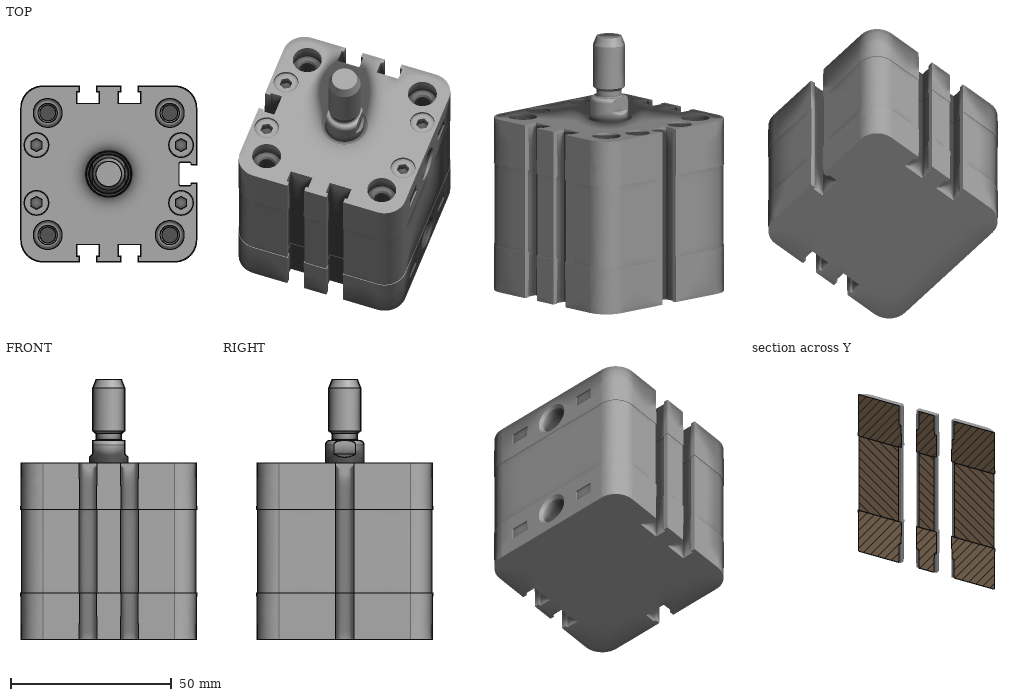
import cadquery as cq
import math

WIDTH = 54.8
CORNER_RADIUS = 6.9
BODY_HEIGHT = 55.0
CAP_HEIGHT = 14.5
CAP_DRAFT = 0.5
BARREL_INSET = 0.2
BARREL_TOP = BODY_HEIGHT - CAP_HEIGHT
BARREL_HEIGHT = BARREL_TOP - CAP_HEIGHT
CAP_END_INSET = CAP_HEIGHT * math.tan(math.radians(CAP_DRAFT))
HALF_WIDTH = WIDTH / 2

SLOT_OFFSET = 6.45
SLOT_NECK = 5.3
SLOT_WIDTH = 6.9
SLOT_DEPTH = 5.4
SLOT_LIP = 1.8
SLOT_OVERRUN = 1.0
SIDE_SLOT_NECK = 5.7
SIDE_SLOT_WIDTH = 7.2
SIDE_SLOT_DEPTH = 5.5
SIDE_SLOT_FILLET = 0.3

PORT_DIAMETER = 8.57
PORT_MOUTH_DIAMETER = 10.6
PORT_CONE_DEPTH = 1.0
PORT_END_DISTANCE = 8.0
CORE_DIAMETER = 40.0

LABEL_WIDTH = 6.0
LABEL_HEIGHT = 4.1
LABEL_DEPTH = 0.5
LABEL_OFFSET = 13.0
LABEL_END_DISTANCE = 7.2

MOUNT_OFFSET = 19.0
MOUNT_BORE_DIAMETER = 9.0
MOUNT_BORE_DEPTH = 4.8
MOUNT_MOUTH_DIAMETER = 6.0
MOUNT_HOLE_DIAMETER = 4.92
MOUNT_HOLE_DEPTH = 12.0

SCREW_X = 22.5
SCREW_Y = 9.0
SCREW_BORE_DIAMETER = 7.7
SCREW_HEAD_DIAMETER = 7.5
SCREW_HEAD_RECESS = 0.7
SCREW_GROOVE_DEPTH = 1.2
HEX_ACROSS_FLATS = 3.5
HEX_DEPTH = 2.5

OPENING_MOUTH_DIAMETER = 14.4
OPENING_DIAMETER = 14.0
WIPER_OUTER_DIAMETER = 13.7
WIPER_INNER_DIAMETER = 12.54
OPENING_CHAMFER_DEPTH = 0.2
WIPER_DEPTH = 0.4

ROD_DIAMETER = 12.0
ROD_SHOULDER = 7.0
ROD_FILLET = 1.35
NECK_DIAMETER = 7.9
NECK_TOP = 9.1
NECK_FLARE = 0.3
THREAD_DIAMETER = 10.0
THREAD_START = 10.0
THREAD_END = 23.3
ROD_TOP = 26.0
TIP_DIAMETER = 7.9
FLAT_SPACING = 10.0
FLAT_BOTTOM = 2.75
FLAT_CUTTER_MARGIN = 1.0


def t_slot_points(inset, neck, width, depth):
    """T-slot section opening along +Y, grown by inset on every wall."""
    half_neck = neck / 2 + inset
    half_width = width / 2 + inset
    outer = HALF_WIDTH + SLOT_OVERRUN
    lip = HALF_WIDTH - SLOT_LIP + inset
    floor = HALF_WIDTH - depth - inset
    return [
        (half_neck, outer),
        (half_neck, lip),
        (half_width, lip),
        (half_width, floor),
        (-half_width, floor),
        (-half_width, lip),
        (-half_neck, lip),
        (-half_neck, outer),
    ]


def rounded_block(bottom_inset, top_inset, height):
    """Rounded square block whose faces taper between the two insets."""
    def section(inset, level):
        side = WIDTH - 2 * inset
        outline = cq.Sketch().rect(side, side).vertices().fillet(CORNER_RADIUS - inset)
        return outline.moved(cq.Location(cq.Vector(0, 0, level)))

    return cq.Workplane().placeSketch(section(bottom_inset, 0), section(top_inset, height)).loft(ruled=True)


def tapered_slot(bottom_inset, top_inset, height):
    """Slot cutter whose walls taper between the two insets."""
    return (
        cq.Workplane()
        .polyline(t_slot_points(bottom_inset, SLOT_NECK, SLOT_WIDTH, SLOT_DEPTH)).close()
        .workplane(offset=height)
        .polyline(t_slot_points(top_inset, SLOT_NECK, SLOT_WIDTH, SLOT_DEPTH)).close()
        .loft(ruled=True)
    )


def side_slot(height):
    """Straight slot cutter for the +X face, with rounded inner corners."""
    return (
        cq.Workplane()
        .polyline(t_slot_points(0, SIDE_SLOT_NECK, SIDE_SLOT_WIDTH, SIDE_SLOT_DEPTH)).close()
        .extrude(height)
        .edges("|Z and (not >Y)").fillet(SIDE_SLOT_FILLET)
        .rotate((0, 0, 0), (0, 0, 1), -90)
    )


def slotted_block(bottom_inset, top_inset, height):
    """Block with two slots on each Y face and one on the +X face."""
    block = rounded_block(bottom_inset, top_inset, height)
    for x in (-SLOT_OFFSET, SLOT_OFFSET):
        slot = tapered_slot(bottom_inset, top_inset, height).translate((x, 0, 0))
        block = block.cut(slot).cut(slot.mirror("XZ"))
    return block.cut(side_slot(height))


def revolved(points):
    """Solid of revolution about Z from (radius, height) points."""
    return cq.Workplane("XZ").polyline(points).close().revolve(360, (0, 0, 0), (0, 1, 0))


def cut_port(cap, height):
    """Countersunk port from the -X face, ending on the core cylinder."""
    mouth = PORT_MOUTH_DIAMETER / 2
    radius = PORT_DIAMETER / 2
    port = (
        revolved([
            (0, 0),
            (mouth, 0),
            (radius, PORT_CONE_DEPTH),
            (radius, HALF_WIDTH),
            (0, HALF_WIDTH),
        ])
        .rotate((0, 0, 0), (0, 1, 0), 90)
        .translate((-HALF_WIDTH, 0, height))
    )
    core = cq.Workplane().circle(CORE_DIAMETER / 2).extrude(BODY_HEIGHT)
    return cap.cut(port.cut(core))


def cut_labels(cap, height):
    """Shallow rectangular panels either side of a port."""
    panel_thickness = 2 * LABEL_DEPTH
    skin = -HALF_WIDTH + CAP_END_INSET / 2
    for y in (-LABEL_OFFSET, LABEL_OFFSET):
        panel = cq.Workplane().box(panel_thickness, LABEL_WIDTH, LABEL_HEIGHT)
        cap = cap.cut(panel.translate((skin, y, height)))
    return cap


def mounting_hole():
    """Counterbored, countersunk blind hole cutter, with its mouth at Z = 0."""
    bore = MOUNT_BORE_DIAMETER / 2
    mouth = MOUNT_MOUTH_DIAMETER / 2
    radius = MOUNT_HOLE_DIAMETER / 2
    cone_end = MOUNT_BORE_DEPTH + mouth - radius
    return revolved([
        (0, 0),
        (bore, 0),
        (bore, -MOUNT_BORE_DEPTH),
        (mouth, -MOUNT_BORE_DEPTH),
        (radius, -cone_end),
        (radius, -MOUNT_HOLE_DEPTH),
        (0, -MOUNT_HOLE_DEPTH),
    ])


def screw_recess():
    """Cutter that leaves a sunk hex socket screw head, with its mouth at Z = 0."""
    bore = SCREW_BORE_DIAMETER / 2
    head = SCREW_HEAD_DIAMETER / 2
    recess = revolved([
        (0, 0),
        (bore, 0),
        (bore, -SCREW_GROOVE_DEPTH),
        (head, -SCREW_GROOVE_DEPTH),
        (head, -SCREW_HEAD_RECESS),
        (0, -SCREW_HEAD_RECESS),
    ])
    hex_corners = HEX_ACROSS_FLATS / math.cos(math.pi / 6)
    socket = (
        cq.Workplane()
        .polygon(6, hex_corners)
        .extrude(-SCREW_HEAD_RECESS - HEX_DEPTH)
        .rotate((0, 0, 0), (0, 0, 1), 90)
    )
    return recess.union(socket)


def rod_opening():
    """Rod hole cutter with a stepped wiper seat at its mouth, Z = 0."""
    seat = WIPER_OUTER_DIAMETER / 2
    lip = WIPER_INNER_DIAMETER / 2
    rod_radius = ROD_DIAMETER / 2
    return revolved([
        (0, 0),
        (OPENING_MOUTH_DIAMETER / 2, 0),
        (OPENING_DIAMETER / 2, -OPENING_CHAMFER_DEPTH),
        (seat, -OPENING_CHAMFER_DEPTH),
        (lip, -WIPER_DEPTH),
        (rod_radius, -WIPER_DEPTH),
        (rod_radius, -CAP_HEIGHT),
        (0, -CAP_HEIGHT),
    ])


def make_rear_cap():
    """Rear cap, narrowing towards Z = 0, with its port and label panels."""
    cap = slotted_block(CAP_END_INSET, 0, CAP_HEIGHT)
    cap = cut_port(cap, PORT_END_DISTANCE)
    return cut_labels(cap, LABEL_END_DISTANCE)


def make_barrel():
    """Straight slotted barrel between the caps."""
    barrel_block = slotted_block(BARREL_INSET, BARREL_INSET, BARREL_HEIGHT)
    return barrel_block.translate((0, 0, CAP_HEIGHT))


def make_front_cap():
    """Front cap with port, labels, mounting holes, screw heads and rod opening."""
    cap = slotted_block(0, CAP_END_INSET, CAP_HEIGHT).translate((0, 0, BARREL_TOP))
    cap = cut_port(cap, BODY_HEIGHT - PORT_END_DISTANCE)
    cap = cut_labels(cap, BODY_HEIGHT - LABEL_END_DISTANCE)
    for x_side in (-1, 1):
        for y_side in (-1, 1):
            mount_place = (x_side * MOUNT_OFFSET, y_side * MOUNT_OFFSET, BODY_HEIGHT)
            screw_place = (x_side * SCREW_X, y_side * SCREW_Y, BODY_HEIGHT)
            cap = cap.cut(mounting_hole().translate(mount_place))
            cap = cap.cut(screw_recess().translate(screw_place))
    return cap.cut(rod_opening().translate((0, 0, BODY_HEIGHT)))


def wrench_flat_cutter():
    """Cutter for the +X wrench flat, its lower end sloping out at 45 degrees."""
    flat = FLAT_SPACING / 2
    outer = ROD_DIAMETER / 2 + FLAT_CUTTER_MARGIN
    run_out = FLAT_BOTTOM - (outer - flat)
    return (
        cq.Workplane("XZ")
        .polyline([(flat, FLAT_BOTTOM), (outer, run_out), (outer, ROD_SHOULDER), (flat, ROD_SHOULDER)])
        .close()
        .extrude(ROD_DIAMETER / 2, both=True)
    )


def make_rod():
    """Rod through the front cap, with wrench flats, undercut and threaded end."""
    shank = cq.Workplane().workplane(offset=-CAP_HEIGHT).circle(ROD_DIAMETER / 2)
    shank = shank.extrude(CAP_HEIGHT + ROD_SHOULDER).faces(">Z").edges().fillet(ROD_FILLET)
    flat = wrench_flat_cutter()
    shank = shank.cut(flat).cut(flat.mirror("YZ"))
    neck = NECK_DIAMETER / 2
    thread = THREAD_DIAMETER / 2
    stud = revolved([
        (0, ROD_SHOULDER),
        (neck + NECK_FLARE, ROD_SHOULDER),
        (neck, ROD_SHOULDER + NECK_FLARE),
        (neck, NECK_TOP),
        (thread, THREAD_START),
        (thread, THREAD_END),
        (TIP_DIAMETER / 2, ROD_TOP),
        (0, ROD_TOP),
    ])
    return shank.union(stud).translate((0, 0, BODY_HEIGHT))


rear_cap = make_rear_cap()
barrel = make_barrel()
front_cap = make_front_cap()
rod = make_rod()

result = cq.Compound.makeCompound([rear_cap.val(), barrel.val(), front_cap.val(), rod.val()])